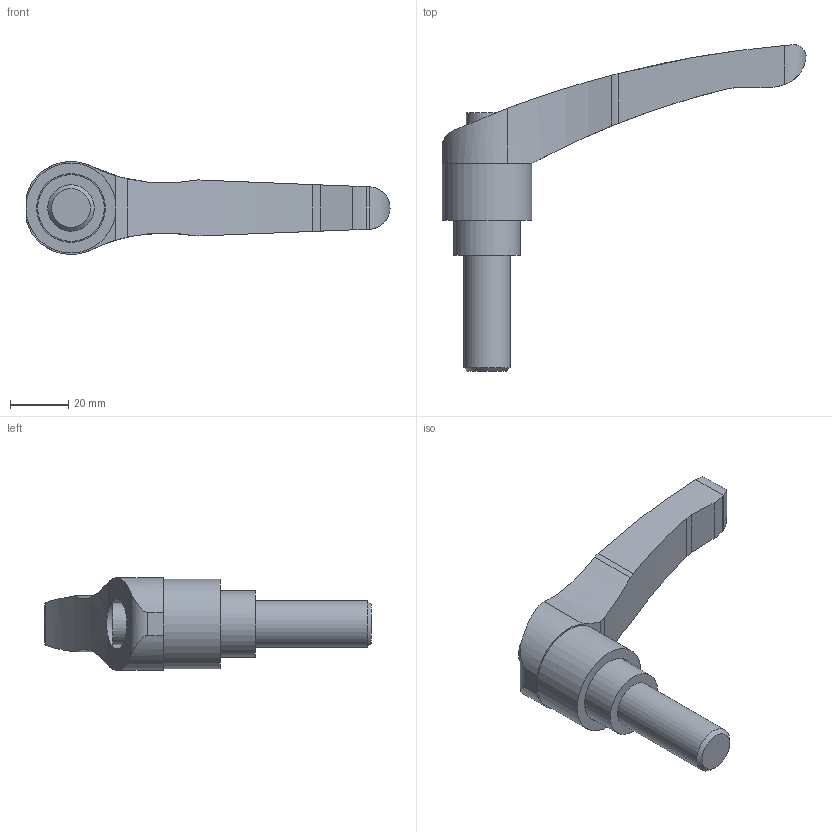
import cadquery as cq
import math


STUD_DIAMETER = 16.0
STUD_LENGTH = 40.0
STUD_CHAMFER = 1.3
SLEEVE_DIAMETER = 23.0
SLEEVE_LENGTH = 12.1
HUB_DIAMETER = 31.0
HUB_LENGTH = 19.6
HUB_BORE_DIAMETER = 23.7
HUB_BORE_DEPTH = 8.0

HEAD_HOLE_DIAMETER = 17.0
HEAD_HOLE_FLOOR_ABOVE_HUB = 5.0
SCREW_DIAMETER = 14.3
SCREW_TOP_Y = 49.1

HEAD_DIAMETER = 32.0
HEAD_EDGE_RADIUS = 6.4
HEAD_EDGE_CORNER_Y = 41.4
HEAD_TOP_END = (7.3, 50.75)
ARM_TOP_MIDDLE = (50.0, 63.8)
ARM_TOP_END = (102.8, 72.3)
TIP_CREST = (106.0, 72.63)
TIP_SHOULDER = (108.6, 71.25)
TIP_X = 109.91
TIP_Y = 68.7
TIP_UNDERSIDE_MIDDLE = (107.1, 61.9)
TIP_UNDERSIDE_END = (102.7, 58.95)
GRIP_UNDERSIDE_END = (101.7, 58.55)
GRIP_UNDERSIDE_MIDDLE = (99.35, 58.0)
GRIP_UNDERSIDE_Y = 57.8
GRIP_FLAT_START_X = 85.9
GRIP_FLAT_END_X = 96.9
ARM_UNDERSIDE_END = (83.3, 57.45)
ARM_UNDERSIDE_MIDDLE = (50.0, 47.3)
ARM_UNDERSIDE_START = (19.5, 33.7)

WAIST_RADIUS = 58.0
WAIST_X = 32.3
SWELL_START_X = 42.9
SWELL_END = (45.2, 9.6)
GRIP_END_X = 102.5
GRIP_END_HALF_WIDTH = 7.3

HUB_RADIUS = HUB_DIAMETER / 2
HEAD_RADIUS = HEAD_DIAMETER / 2
HUB_TOP_Y = SLEEVE_LENGTH + HUB_LENGTH


def rod(diameter, start_y, end_y):
    """Cylinder on the Y axis between two heights."""
    length = end_y - start_y
    base = cq.Workplane("XZ", origin=(0, start_y, 0))
    return base.circle(diameter / 2).extrude(-length)


def lever_side():
    """Side profile of the head and arm, as wide as the head."""
    outline = (
        cq.Workplane("XY")
        .moveTo(-HUB_RADIUS, HUB_TOP_Y)
        .lineTo(-HUB_RADIUS, HEAD_EDGE_CORNER_Y)
        .lineTo(*HEAD_TOP_END)
        .threePointArc(ARM_TOP_MIDDLE, ARM_TOP_END)
        .lineTo(*TIP_CREST)
        .threePointArc(TIP_SHOULDER, (TIP_X, TIP_Y))
        .threePointArc(TIP_UNDERSIDE_MIDDLE, TIP_UNDERSIDE_END)
        .lineTo(*GRIP_UNDERSIDE_END)
        .threePointArc(GRIP_UNDERSIDE_MIDDLE, (GRIP_FLAT_END_X, GRIP_UNDERSIDE_Y))
        .lineTo(GRIP_FLAT_START_X, GRIP_UNDERSIDE_Y)
        .lineTo(*ARM_UNDERSIDE_END)
        .threePointArc(ARM_UNDERSIDE_MIDDLE, ARM_UNDERSIDE_START)
        .lineTo(HUB_RADIUS, HUB_TOP_Y)
        .close()
    )
    side = outline.extrude(HEAD_RADIUS, both=True)
    corner = cq.selectors.NearestToPointSelector((-HUB_RADIUS, HEAD_EDGE_CORNER_Y, 0))
    return side.edges("|Z").edges(corner).fillet(HEAD_EDGE_RADIUS)


def lever_plan():
    """Plan outline: round head, narrow waist, swelling and tapering grip."""
    centre_distance = HEAD_RADIUS + WAIST_RADIUS
    waist_centre_z = math.sqrt(centre_distance**2 - WAIST_X**2)
    tangent_x = WAIST_X * HEAD_RADIUS / centre_distance
    tangent_z = waist_centre_z * HEAD_RADIUS / centre_distance
    waist_z = waist_centre_z - WAIST_RADIUS
    swell_start_z = waist_centre_z - math.sqrt(WAIST_RADIUS**2 - (SWELL_START_X - WAIST_X) ** 2)
    outline = (
        cq.Workplane("XZ")
        .moveTo(tangent_x, tangent_z)
        .threePointArc((WAIST_X, waist_z), (SWELL_START_X, swell_start_z))
        .tangentArcPoint(SWELL_END, relative=False)
        .lineTo(GRIP_END_X, GRIP_END_HALF_WIDTH)
        .threePointArc((TIP_X, 0), (GRIP_END_X, -GRIP_END_HALF_WIDTH))
        .lineTo(SWELL_END[0], -SWELL_END[1])
        .lineTo(SWELL_START_X, -swell_start_z)
        .threePointArc((WAIST_X, -waist_z), (tangent_x, -tangent_z))
        .threePointArc((-HEAD_RADIUS, 0), (tangent_x, tangent_z))
        .close()
    )
    return outline.extrude(-TIP_CREST[1])


hub = rod(HUB_DIAMETER, SLEEVE_LENGTH, HUB_TOP_Y)
hub_bore = rod(HUB_BORE_DIAMETER, SLEEVE_LENGTH, SLEEVE_LENGTH + HUB_BORE_DEPTH)
lever = lever_side().intersect(lever_plan()).union(hub).cut(hub_bore)

hole_floor_y = HUB_TOP_Y + HEAD_HOLE_FLOOR_ABOVE_HUB
lever = lever.cut(rod(HEAD_HOLE_DIAMETER, hole_floor_y, TIP_CREST[1]))

sleeve = rod(SLEEVE_DIAMETER, 0, HUB_TOP_Y)
stud = rod(STUD_DIAMETER, -STUD_LENGTH, 0).faces("<Y").chamfer(STUD_CHAMFER)
screw = rod(SCREW_DIAMETER, HUB_TOP_Y, SCREW_TOP_Y)

result = lever.union(sleeve).union(stud).union(screw)